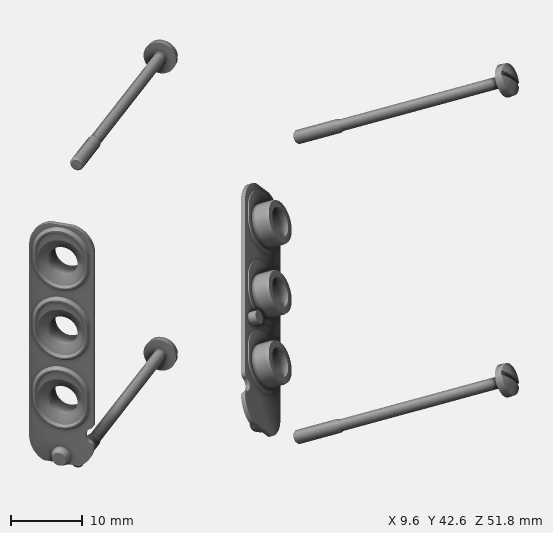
import cadquery as cq
import math


PLATE_WIDTH = 9.6
PLATE_THICKNESS = 0.65
PLATE_TOP = 17.0
PLATE_BOTTOM = -20.65
CORNER_RADIUS = 4.0
TOP_ARC_Z = 13.1
BOTTOM_ARC_Z = -17.15

NOTCH_RADIUS = 1.2
NOTCH_X = 4.75
NOTCH_Z = -15.6
NOTCH_LIP_RADIUS = 0.85

SOCKET_PITCH = 11.0
SOCKET_COUNT = 3
STADIUM_STRETCH = 1.3
RIM_HEIGHT = 0.45
RIM_BASE_RADIUS = 4.3
RIM_TOP_RADIUS = 3.95
RECESS_MOUTH_RADIUS = 3.75
RECESS_FLOOR_RADIUS = 3.5
RECESS_FLOOR_Y = 0.0
FLANGE_RADIUS = 4.05
FLANGE_HEIGHT = 0.15
BOSS_DIAMETER = 6.4
BOSS_END_Y = 3.5
BOSS_LEAD_LENGTH = 0.4
BOSS_LEAD_INSET = 0.1
HOLE_DIAMETER = 4.3
CONE_END_Y = 0.65

PIN_BASE_DIAMETER = 3.0
PIN_TIP_DIAMETER = 2.0
PIN_HEIGHT = 0.95
PIN_Z = -19.6
PEG_DIAMETER = 2.0
PEG_END_Y = 1.9
PEG_X = 3.0
PEG_Z = -4.8

SCREW_HEAD_DIAMETER = 4.8
OVERALL_HEIGHT = 51.8
SCREW_Z = (OVERALL_HEIGHT - SCREW_HEAD_DIAMETER) / 2
OVERALL_DEPTH = 42.6
HEAD_TOP_Y = OVERALL_DEPTH - PIN_HEIGHT
HEAD_HEIGHT = 1.65
HEAD_EDGE_HEIGHT = 1.1
HEAD_EDGE_DIAMETER = 4.65
NECK_FILLET = 0.2
SHANK_DIAMETER = 1.7
THREAD_DIAMETER = 2.0
THREAD_START_Y = 13.1
THREAD_RUNOUT = 0.4
TIP_Y = 6.1
TIP_CHAMFER = 0.25
SLOT_WIDTH = 0.65
SLOT_DEPTH = 0.7


def plane_at(y):
    """Work plane parallel to XZ at the given Y, extruding toward +Y; local y is -Z."""
    return cq.Plane(origin=(0, y, 0), xDir=(1, 0, 0), normal=(0, 1, 0))


def cylinder(diameter, x, z, start_y, end_y):
    """Round bar along Y."""
    sketch = cq.Workplane(plane_at(start_y)).center(x, -z)
    return sketch.circle(diameter / 2).extrude(end_y - start_y)


def cone(start_diameter, end_diameter, x, z, start_y, end_y):
    """Truncated cone along Y."""
    solid = cq.Solid.makeCone(
        start_diameter / 2, end_diameter / 2, end_y - start_y,
        cq.Vector(x, start_y, z), cq.Vector(0, 1, 0),
    )
    return cq.Workplane(solid)


def tapered_stadium(start_radius, end_radius, z, start_y, end_y):
    """Upright stadium along Y whose lower arc is centred at height z."""
    depth = end_y - start_y
    taper = math.degrees(math.atan2(start_radius - end_radius, depth))
    sketch = cq.Workplane(plane_at(start_y)).center(0, -(z + STADIUM_STRETCH / 2))
    outline = sketch.slot2D(STADIUM_STRETCH + 2 * start_radius, 2 * start_radius, 90)
    return outline.extrude(depth, taper=taper)


def make_plate_blank():
    """Flat plate whose corner arcs run off the sides and are cut short by the flat ends."""
    side = PLATE_WIDTH / 2
    arc_x = side - CORNER_RADIUS
    top_x = arc_x + math.sqrt(CORNER_RADIUS**2 - (PLATE_TOP - TOP_ARC_Z)**2)
    bottom_x = arc_x + math.sqrt(CORNER_RADIUS**2 - (BOTTOM_ARC_Z - PLATE_BOTTOM)**2)
    return (
        cq.Workplane("XZ")
        .moveTo(-bottom_x, PLATE_BOTTOM)
        .lineTo(bottom_x, PLATE_BOTTOM)
        .radiusArc((side, BOTTOM_ARC_Z), -CORNER_RADIUS)
        .lineTo(side, TOP_ARC_Z)
        .radiusArc((top_x, PLATE_TOP), -CORNER_RADIUS)
        .lineTo(-top_x, PLATE_TOP)
        .radiusArc((-side, TOP_ARC_Z), -CORNER_RADIUS)
        .lineTo(-side, BOTTOM_ARC_Z)
        .radiusArc((-bottom_x, PLATE_BOTTOM), -CORNER_RADIUS)
        .close()
        .extrude(-PLATE_THICKNESS)
    )


def cut_notch(plate):
    """Round notch in the +X edge with softened lips."""
    plate = plate.cut(cylinder(2 * NOTCH_RADIUS, NOTCH_X, NOTCH_Z, 0, PLATE_THICKNESS))
    side = PLATE_WIDTH / 2
    half_mouth = math.sqrt(NOTCH_RADIUS**2 - (NOTCH_X - side)**2)
    middle_y = PLATE_THICKNESS / 2
    for z in (NOTCH_Z - half_mouth, NOTCH_Z + half_mouth):
        lip = cq.selectors.NearestToPointSelector((side, middle_y, z))
        plate = plate.edges("|Y").edges(lip).fillet(NOTCH_LIP_RADIUS)
    return plate


def make_socket_body(z):
    """Tapered rim in front of the plate, flange and boss with a tapered lead-in behind it."""
    rim = tapered_stadium(RIM_TOP_RADIUS, RIM_BASE_RADIUS, z, -RIM_HEIGHT, 0)
    flange_end = PLATE_THICKNESS + FLANGE_HEIGHT
    flange = tapered_stadium(FLANGE_RADIUS, FLANGE_RADIUS, z, 0, flange_end)
    lead_start = BOSS_END_Y - BOSS_LEAD_LENGTH
    boss = cylinder(BOSS_DIAMETER, 0, z, 0, lead_start)
    lead_diameter = BOSS_DIAMETER - 2 * BOSS_LEAD_INSET
    lead = cone(BOSS_DIAMETER, lead_diameter, 0, z, lead_start, BOSS_END_Y)
    return rim.union(flange).union(boss).union(lead)


def make_socket_opening(z):
    """Stadium recess, then a cone narrowing to the through hole."""
    recess = tapered_stadium(RECESS_MOUTH_RADIUS, RECESS_FLOOR_RADIUS, z, -RIM_HEIGHT, RECESS_FLOOR_Y)
    funnel = cone(2 * RECESS_FLOOR_RADIUS, HOLE_DIAMETER, 0, z, RECESS_FLOOR_Y, CONE_END_Y)
    hole = cylinder(HOLE_DIAMETER, 0, z, RECESS_FLOOR_Y, BOSS_END_Y)
    return recess.union(funnel).union(hole)


def make_plate():
    """Plate with its notch, sockets, pin and peg as one solid."""
    plate = cut_notch(make_plate_blank())

    rows = [(i - (SOCKET_COUNT - 1) / 2) * SOCKET_PITCH for i in range(SOCKET_COUNT)]
    for z in rows:
        plate = plate.union(make_socket_body(z))
    for z in rows:
        plate = plate.cut(make_socket_opening(z))

    pin = cone(PIN_TIP_DIAMETER, PIN_BASE_DIAMETER, 0, PIN_Z, -PIN_HEIGHT, 0)
    below_plate = cq.Workplane().box(
        PIN_BASE_DIAMETER, 2 * PIN_HEIGHT, PIN_BASE_DIAMETER
    ).translate((0, 0, PLATE_BOTTOM - PIN_BASE_DIAMETER / 2))
    plate = plate.union(pin.cut(below_plate))

    return plate.union(cylinder(PEG_DIAMETER, PEG_X, PEG_Z, PLATE_THICKNESS, PEG_END_Y))


def make_screw(z):
    """Slotted domed-head screw along Y with a threaded end thicker than its shank."""
    head_bottom = HEAD_TOP_Y - HEAD_HEIGHT
    edge_y = head_bottom + HEAD_EDGE_HEIGHT
    shank_radius = SHANK_DIAMETER / 2
    thread_radius = THREAD_DIAMETER / 2
    edge_radius = HEAD_EDGE_DIAMETER / 2

    dome_rise = HEAD_TOP_Y - edge_y
    dome_radius = (edge_radius**2 + dome_rise**2) / (2 * dome_rise)

    profile = (
        cq.Workplane("XY")
        .moveTo(0, TIP_Y)
        .lineTo(thread_radius - TIP_CHAMFER, TIP_Y)
        .lineTo(thread_radius, TIP_Y + TIP_CHAMFER)
        .lineTo(thread_radius, THREAD_START_Y)
        .lineTo(shank_radius, THREAD_START_Y + THREAD_RUNOUT)
        .lineTo(shank_radius, head_bottom - NECK_FILLET)
        .radiusArc((shank_radius + NECK_FILLET, head_bottom), NECK_FILLET)
        .lineTo(SCREW_HEAD_DIAMETER / 2, head_bottom)
        .lineTo(edge_radius, edge_y)
        .radiusArc((0, HEAD_TOP_Y), -dome_radius)
        .close()
    )
    screw = profile.revolve(360, (0, 0, 0), (0, 1, 0))

    slot = cq.Workplane().box(SCREW_HEAD_DIAMETER, 2 * SLOT_DEPTH, SLOT_WIDTH)
    screw = screw.cut(slot.translate((0, HEAD_TOP_Y, 0)))
    return screw.translate((0, 0, z))


plate = make_plate()
screws = [make_screw(z) for z in (-SCREW_Z, SCREW_Z)]

result = cq.Compound.makeCompound([plate.val(), *[screw.val() for screw in screws]])